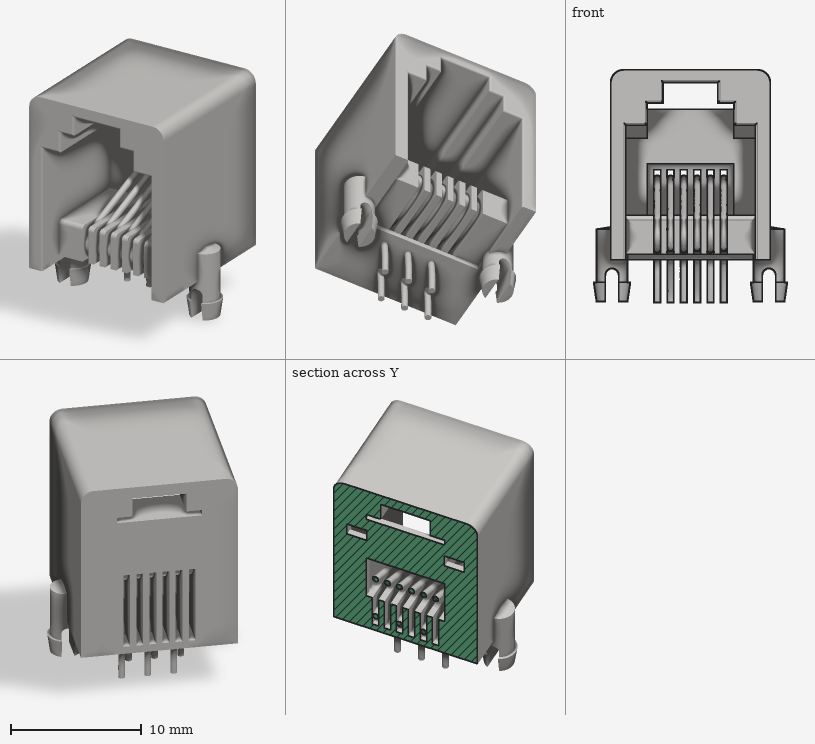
import cadquery as cq


housing_width = 12.21
housing_height = 14.55
front_y = -6.0
rear_y = 7.01
top_corner_radius = 1.0

wide_half, wide_top = 4.93, 10.3
middle_half, middle_top = 3.31, 12.0
latch_half, latch_top = 2.08, 13.56
mouth_radius = 0.16

wall_y = 3.56
wall_top = 11.53
pocket_depth = 1.07
corner_pocket_bottom = 9.31
comb_recess_top = 7.37

block_front_y = -3.6
block_bottom = 0.43
block_top = 3.4
block_edge_radius = 0.34
floor_front_y = 1.21

peg_x = 6.0
peg_radius = 1.2
peg_shoulder = 2.35
peg_tip_height = 0.2
barb_radius = 1.4
barb_top = -1.7
barb_bottom = -3.19
peg_slot_width = 1.0
peg_slot_top = -0.65

contact_count = 6
contact_pitch = 1.01
wire_diameter = 0.52
wire_radius = wire_diameter / 2

total_height = 17.8
leg_bottom = housing_height - total_height
front_leg_y = 2.4
leg_row_pitch = 2.55
leg_offset = 0.1
leg_offset_top = -0.18
leg_offset_bottom = -1.6
leg_hole_clearance = 0.05
leg_hole_radius = wire_radius + leg_hole_clearance

run_bend_depth = 0.53
run_bend_z = 1.34

front_row_hairpin = [(0.35, 1.1), (-1.78, 0.82), (-2.76, 1.07), (-3.19, 1.64), (-2.58, 2.67)]
rear_row_hairpin = [(0.0, 1.1), (-2.14, 0.93), (-2.88, 1.12), (-3.0, 1.67), (-2.5, 2.65)]

spring_end_y = 6.05
spring_end_z = 6.23
spring_slope = 0.39
spring_straight_y = (-1.07, 2.5)

slot_width = wire_diameter
slot_top = 6.89
slot_ramp_run = 0.53
slot_ramp_rise = 0.2
slot_floor = block_bottom + slot_ramp_rise


def box(x_min, x_max, y_min, y_max, z_min, z_max):
    """Axis-aligned box between the given limits."""
    size = (x_max - x_min, y_max - y_min, z_max - z_min)
    return cq.Workplane("XY").box(*size, centered=False).translate((x_min, y_min, z_min))


def make_shell():
    """Outer block with rounded top corners and the stepped plug cavity."""
    half_width = housing_width / 2
    shell = box(-half_width, half_width, front_y, rear_y, 0, housing_height)
    shell = shell.edges("|Y and >Z").fillet(top_corner_radius)
    for half, top in ((wide_half, wide_top), (middle_half, middle_top), (latch_half, latch_top)):
        shell = shell.cut(box(-half, half, front_y, wall_y, 0, top))

    mouth_edges = cq.selectors.BoxSelector(
        (-wide_half - mouth_radius, front_y - mouth_radius, 0),
        (wide_half + mouth_radius, front_y + mouth_radius, latch_top + mouth_radius),
    )
    return shell.edges(mouth_edges).fillet(mouth_radius)


def cut_rear_wall(shell):
    """Window above the rear wall, corner pockets and the recess around the comb."""
    shell = shell.cut(box(-middle_half, middle_half, wall_y, rear_y, wall_top, middle_top))
    shell = shell.cut(box(-latch_half, latch_half, wall_y, rear_y, middle_top, latch_top))
    pocket_y = wall_y + pocket_depth
    for inner, outer in ((-wide_half, -middle_half), (middle_half, wide_half)):
        shell = shell.cut(box(inner, outer, wall_y, pocket_y, corner_pocket_bottom, wide_top))
    return shell.cut(box(-middle_half, middle_half, wall_y, pocket_y, block_top, comb_recess_top))


def make_contact_block():
    """Block with a rounded front edge, resting on the floor strip."""
    block = box(-wide_half, wide_half, block_front_y, wall_y, block_bottom, block_top)
    block = block.edges("<Y and >Z").fillet(block_edge_radius)
    return block.union(box(-wide_half, wide_half, floor_front_y, wall_y, 0, block_bottom))


def make_peg(x):
    """Round snap peg with a conical top, a tapered barb and a slot between its two legs."""
    peg = (
        cq.Workplane("XZ")
        .moveTo(0, barb_bottom)
        .lineTo(peg_radius, barb_bottom)
        .lineTo(barb_radius, barb_top)
        .lineTo(peg_radius, barb_top)
        .lineTo(peg_radius, peg_shoulder)
        .lineTo(0, peg_shoulder + peg_tip_height)
        .close()
        .revolve(360, (0, 0, 0), (0, 1, 0))
    )
    slot_radius = peg_slot_width / 2
    slot = (
        cq.Workplane("XZ")
        .moveTo(-slot_radius, barb_bottom)
        .lineTo(-slot_radius, peg_slot_top - slot_radius)
        .threePointArc((0, peg_slot_top), (slot_radius, peg_slot_top - slot_radius))
        .lineTo(slot_radius, barb_bottom)
        .close()
        .extrude(barb_radius, both=True)
    )
    return peg.cut(slot).translate((x, 0, 0))


def make_contact_slot(x):
    """Slot for one contact, open below ahead of the floor strip, with a ramp up to its floor."""
    return (
        cq.Workplane("YZ")
        .moveTo(block_front_y, block_bottom)
        .lineTo(floor_front_y, block_bottom)
        .lineTo(floor_front_y + slot_ramp_run, slot_floor)
        .lineTo(rear_y, slot_floor)
        .lineTo(rear_y, slot_top)
        .lineTo(block_front_y, slot_top)
        .close()
        .extrude(slot_width / 2, both=True)
        .translate((x, 0, 0))
    )


def contact_x(index):
    """X of a contact in the evenly spaced row."""
    return (index - (contact_count - 1) / 2) * contact_pitch


def in_front_row(index):
    """Whether the leg of a contact stands in the row nearer the mouth."""
    return index % 2 == 0


def leg_y(index):
    """Y of the lower end of a leg; the legs alternate between two rows."""
    return front_leg_y - leg_offset + (0 if in_front_row(index) else leg_row_pitch)


def make_housing():
    """Shell, contact block and pegs as one solid, with contact slots and leg holes."""
    housing = cut_rear_wall(make_shell()).union(make_contact_block())
    for side in (-1, 1):
        housing = housing.union(make_peg(side * peg_x))
    for index in range(contact_count):
        x = contact_x(index)
        leg_hole = (
            cq.Workplane("XY")
            .center(x, leg_y(index) + leg_offset)
            .circle(leg_hole_radius)
            .extrude(slot_floor)
        )
        housing = housing.cut(make_contact_slot(x)).cut(leg_hole)
    return housing


def make_contact(index):
    """Round wire: offset leg, run to the front, hairpin bend and spring rising to the rear."""
    low_y = leg_y(index)
    high_y = low_y + leg_offset
    leg = [
        (low_y, leg_bottom),
        (low_y, leg_offset_bottom),
        (high_y, leg_offset_top),
        (high_y, slot_floor),
        (high_y - run_bend_depth, run_bend_z),
    ]
    hairpin = front_row_hairpin if in_front_row(index) else rear_row_hairpin
    spring = [
        (y, spring_end_z - spring_slope * (spring_end_y - y))
        for y in (*spring_straight_y, spring_end_y)
    ]
    path = cq.Workplane("YZ").spline(
        leg + hairpin + spring,
        tangents=[(0, 1), (1, spring_slope)],
    )
    wire = cq.Workplane("XY", origin=(0, low_y, leg_bottom)).circle(wire_radius).sweep(path)
    return wire.translate((contact_x(index), 0, 0))


housing = make_housing()
contacts = [make_contact(index) for index in range(contact_count)]

result = cq.Compound.makeCompound([housing.val(), *[contact.val() for contact in contacts]])